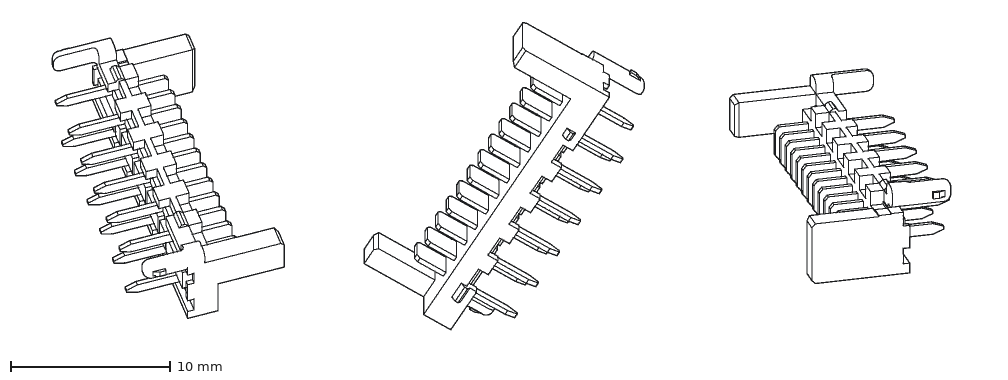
import cadquery as cq
import math


overall_width = 19.32
half_width = 9.49
depth = 2.0
height = 4.98
groove_depth = 0.43
bottom_rail_height = 0.68
rail_top_z = 4.21
panel_bottom_z = 1.72
panel_top_z = 3.27
gap_width = 0.29
gap_center = -3.85
end_gap_left = (-5.14, -4.85)
end_gap_right = (5.02, 5.2)
lip_width = 0.3
end_panel_left = -8.4
slot_depth = 1.05
slot_left_inner = -8.52
slot_right_inner = 8.42
notch_depth = 0.73
spine_back = 1.14
ledge_back = 1.2
recess_floor_z = 4.04
corner_floor_z = 4.17
pad_width = 1.14

pins_per_row = 6
row_length = 13.91
pitch = row_length / (2 * pins_per_row - 1)
row_pitch = 2 * pitch
row_spacing = 2.53
upper_row_z = 3.7
pin_width = 0.3
pin_height = 0.73
pin_front = -3.25
taper_length = 0.71
tip_height = 0.2
blade_back = 4.15
blade_height = 2.25
blade_lead_y = 0.23
blade_lead_z = 0.27

wing_back = 6.4
wing_width = 1.37
wing_chamfer = 0.23
left_wing_top = 4.1
right_wing_bottom = 2.6

lock_bottom = 4.46
lock_top = 5.9
lock_width = 0.7
lock_tip = -2.8
lock_radius = 0.5
lock_root_radius = 0.27
barb_back = -1.49
barb_flat_end = -1.87
barb_front = lock_tip + lock_radius
barb_height = overall_width / 2 - half_width

top_rib_height = 0.21
bottom_rib_height = 0.3
rib_front = 0.5
rib_back = spine_back
rib_front_run = 0.17
rib_back_run = 0.25
rib_root = 0.2

mid_z = height / 2
pad_half_width = pad_width / 2
lock_inner = half_width - lock_width
root_inner = lock_inner - lock_root_radius
wing_inner = half_width - wing_width
upper_pins = [-row_length / 2 + row_pitch * i for i in range(pins_per_row)]
lower_pins = [x + pitch for x in upper_pins]


def block(x0, x1, y0, y1, z0, z1):
    """Box given by its limits on each axis."""
    return cq.Workplane("XY").box(x1 - x0, y1 - y0, z1 - z0, centered=False).translate((x0, y0, z0))


def profile_along_x(points, x0, x1):
    """Closed (y, z) outline extruded from x0 to x1."""
    return cq.Workplane("YZ", origin=(x0, 0, 0)).polyline(points).close().extrude(x1 - x0)


def make_housing():
    body = block(-half_width, half_width, 0, depth, 0, height)

    for z0, z1 in ((bottom_rail_height, panel_bottom_z), (panel_top_z, rail_top_z)):
        body = body.cut(block(-half_width, half_width, 0, groove_depth, z0, z1))

    gaps = [end_gap_left, end_gap_right, (slot_left_inner, end_panel_left)]
    for i in range(pins_per_row - 2):
        center = gap_center + row_pitch * i
        gaps.append((center - gap_width / 2, center + gap_width / 2))
    for x0, x1 in gaps:
        body = body.cut(block(x0, x1, 0, groove_depth, panel_bottom_z, panel_top_z))

    for pins, z0, z1 in ((upper_pins, rail_top_z, height), (lower_pins, 0, bottom_rail_height)):
        for left, right in zip(pins, pins[1:]):
            body = body.cut(block(left + pad_half_width, right - pad_half_width, 0, notch_depth, z0, z1))

    edges = [-root_inner]
    for x in upper_pins:
        edges += [x - pad_half_width, x + pad_half_width]
    edges.append(wing_inner)
    for x0, x1 in zip(edges[::2], edges[1::2]):
        body = body.cut(block(x0, x1, spine_back, depth, rail_top_z, height))
        body = body.cut(block(x0, x1, ledge_back, depth, recess_floor_z, height))

    body = body.cut(block(-half_width, -root_inner, 0, depth, rail_top_z, height))
    body = body.cut(block(-half_width, -root_inner, ledge_back, depth, corner_floor_z, height))

    lip_inner = half_width - lip_width
    body = body.cut(block(-lip_inner, slot_left_inner, 0, slot_depth, bottom_rail_height, panel_top_z))
    return body.cut(block(slot_right_inner, lip_inner, 0, slot_depth, panel_bottom_z, rail_top_z))


def make_wings():
    left = block(-half_width, -wing_inner, depth, wing_back, 0, left_wing_top)
    left = left.faces(">Y").edges(">X or >Z or <Z").chamfer(wing_chamfer)
    right = block(wing_inner, half_width, depth, wing_back, right_wing_bottom, height)
    right = right.faces(">Y").edges("<X or >Z").chamfer(wing_chamfer)
    return left.union(right)


def make_pin(x, z):
    """Tail tapered at the front, joined to an upright contact blade behind the housing."""
    x0, x1 = x - pin_width / 2, x + pin_width / 2
    half, half_tip = pin_height / 2, tip_height / 2
    taper_start = pin_front + taper_length
    tail = profile_along_x(
        [
            (depth, z - half),
            (taper_start, z - half),
            (pin_front, z - half_tip),
            (pin_front, z + half_tip),
            (taper_start, z + half),
            (depth, z + half),
        ],
        x0,
        x1,
    )
    top, bottom = mid_z + blade_height / 2, mid_z - blade_height / 2
    blade = profile_along_x(
        [
            (slot_depth, bottom),
            (blade_back - blade_lead_y, bottom),
            (blade_back, bottom + blade_lead_z),
            (blade_back, top - blade_lead_z),
            (blade_back - blade_lead_y, top),
            (slot_depth, top),
        ],
        x0,
        x1,
    )
    return tail.union(blade)


def make_right_lock():
    """Board lock: a post rounded on its outer side, standing on a shoulder of the housing."""
    post = block(lock_inner, half_width, lock_tip, spine_back, lock_bottom, lock_top)
    post = post.edges("(|Y and >X) or (|Z and >X and <Y) or (|X and <Y)").fillet(lock_radius)

    shoulder = block(wing_inner, lock_inner, 0, spine_back, lock_bottom, lock_top)
    shoulder = shoulder.edges("|Y and <X and >Z").fillet(lock_radius)
    foot = block(wing_inner, root_inner, 0, spine_back, rail_top_z, lock_bottom)

    r = lock_root_radius
    blend = (
        cq.Workplane("XY", origin=(0, 0, lock_bottom))
        .moveTo(root_inner, 0)
        .radiusArc((lock_inner, -r), r)
        .lineTo(lock_inner, 0)
        .close()
        .extrude(lock_top - lock_bottom)
    )

    barb = (
        cq.Workplane("XY", origin=(0, 0, lock_bottom + lock_radius))
        .moveTo(lock_inner, barb_back)
        .lineTo(half_width + barb_height, barb_back)
        .lineTo(half_width + barb_height, barb_flat_end)
        .lineTo(half_width, barb_front)
        .lineTo(lock_inner, barb_front)
        .close()
        .extrude(lock_top - lock_bottom - 2 * lock_radius)
    )
    return post.union(shoulder).union(foot).union(blend).union(barb)


def make_crush_rib(x0, x1, base_z, rise):
    """Low rib with sloped sides; rise is positive above the housing and negative below it."""
    crest_z = base_z + rise
    root_z = base_z - math.copysign(rib_root, rise)
    return profile_along_x(
        [
            (rib_front, root_z),
            (rib_front, base_z),
            (rib_front + rib_front_run, crest_z),
            (rib_back - rib_back_run, crest_z),
            (rib_back, base_z),
            (rib_back, root_z),
        ],
        x0,
        x1,
    )


result = make_housing().union(make_wings())
right_lock = make_right_lock()
result = result.union(right_lock).union(right_lock.mirror("YZ"))

for x in (upper_pins[0], upper_pins[-1]):
    rib = make_crush_rib(x - pad_half_width, x + pad_half_width, height, top_rib_height)
    result = result.union(rib)
for x0, x1 in (
    (lower_pins[0] - pad_half_width, lower_pins[0]),
    (lower_pins[-1] - pad_half_width, lower_pins[-1] + pad_half_width),
):
    result = result.union(make_crush_rib(x0, x1, 0, -bottom_rib_height))

for pins, row_z in ((upper_pins, upper_row_z), (lower_pins, upper_row_z - row_spacing)):
    for x in pins:
        result = result.union(make_pin(x, row_z))